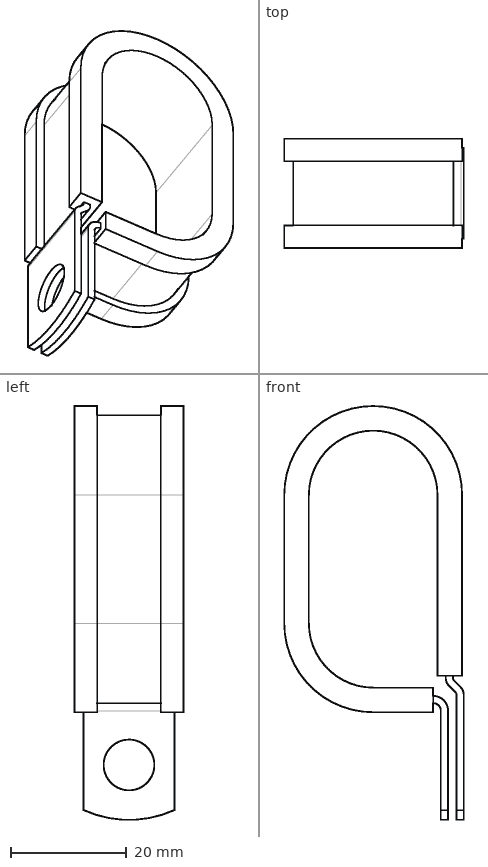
import cadquery as cq
import math

total_height = 71.65
cushion_width = 18.9
outer_radius = 15.4
wall = 4.3
straight_side = 22.2
leg_end_z = 24.9
foot_end_x = 10.4
groove_width = 11.0
groove_depth = 1.6

strap_width = 15.75
strap_thickness = 1.3
lower_bend_radius = 1.9
jog_bend_radius = 1.3
jog_angle = math.radians(45)
jog_drop = 0.35
outer_tab_face_x = 15.7

hole_diameter = 8.75
hole_z = 9.5
tip_rise = 1.7

upper_center_z = total_height - outer_radius
lower_center_z = upper_center_z - straight_side
cutter_length = 4 * outer_radius


def loop_path(radius):
    """Open loop line from the bottom run, clockwise round to the right leg."""
    return (
        cq.Workplane("XZ")
        .moveTo(foot_end_x, lower_center_z - radius)
        .lineTo(0, lower_center_z - radius)
        .tangentArcPoint((-radius, lower_center_z), relative=False)
        .lineTo(-radius, upper_center_z)
        .threePointArc((0, upper_center_z + radius), (radius, upper_center_z))
    )


def loop_band(face_radius, thickness):
    """Closed profile of the cushion loop between two parallel faces."""
    inner_radius = face_radius - thickness
    return (
        loop_path(face_radius)
        .lineTo(face_radius, leg_end_z)
        .lineTo(inner_radius, leg_end_z)
        .lineTo(inner_radius, upper_center_z)
        .threePointArc((0, upper_center_z + inner_radius), (-inner_radius, upper_center_z))
        .lineTo(-inner_radius, lower_center_z)
        .tangentArcPoint((0, lower_center_z - inner_radius), relative=False)
        .lineTo(foot_end_x, lower_center_z - inner_radius)
        .close()
    )


def make_cushion():
    body = loop_band(outer_radius, wall).extrude(cushion_width / 2, both=True)
    groove = loop_band(outer_radius, groove_depth).extrude(groove_width / 2, both=True)
    return body.cut(groove)


def make_strap():
    """Sweep the flat strip along its mid-thickness line, from tab to tab."""
    mid_radius = outer_radius - groove_depth - strap_thickness / 2
    bottom_z = lower_center_z - mid_radius
    inner_tab_x = foot_end_x + lower_bend_radius
    outer_tab_x = outer_tab_face_x - strap_thickness / 2

    bend_dx = jog_bend_radius * (1 - math.cos(jog_angle))
    bend_dz = jog_bend_radius * math.sin(jog_angle)
    slope_dx = outer_tab_x - mid_radius - 2 * bend_dx
    slope_dz = slope_dx / math.tan(jog_angle)
    jog_top_z = leg_end_z - jog_drop
    slope_top_z = jog_top_z - bend_dz
    slope_bottom_z = slope_top_z - slope_dz

    path = (
        cq.Workplane("XZ")
        .moveTo(inner_tab_x, 0)
        .lineTo(inner_tab_x, bottom_z - lower_bend_radius)
        .tangentArcPoint((foot_end_x, bottom_z), relative=False)
        .lineTo(0, bottom_z)
        .tangentArcPoint((-mid_radius, lower_center_z), relative=False)
        .lineTo(-mid_radius, upper_center_z)
        .threePointArc((0, upper_center_z + mid_radius), (mid_radius, upper_center_z))
        .lineTo(mid_radius, jog_top_z)
        .tangentArcPoint((mid_radius + bend_dx, slope_top_z), relative=False)
        .lineTo(outer_tab_x - bend_dx, slope_bottom_z)
        .tangentArcPoint((outer_tab_x, slope_bottom_z - bend_dz), relative=False)
        .lineTo(outer_tab_x, 0)
    )
    return (
        cq.Workplane("XY")
        .center(inner_tab_x, 0)
        .rect(strap_thickness, strap_width)
        .sweep(path)
    )


def make_tab_outline():
    """Side silhouette that rounds the tab tips, as a long prism along X."""
    half_width = strap_width / 2
    return (
        cq.Workplane("YZ")
        .moveTo(-half_width, total_height)
        .lineTo(-half_width, tip_rise)
        .threePointArc((0, 0), (half_width, tip_rise))
        .lineTo(half_width, total_height)
        .close()
        .extrude(cutter_length / 2, both=True)
    )


def make_bolt_hole():
    return (
        cq.Workplane("YZ")
        .center(0, hole_z)
        .circle(hole_diameter / 2)
        .extrude(cutter_length / 2, both=True)
    )


strap = make_strap().intersect(make_tab_outline()).cut(make_bolt_hole())
result = make_cushion().union(strap)